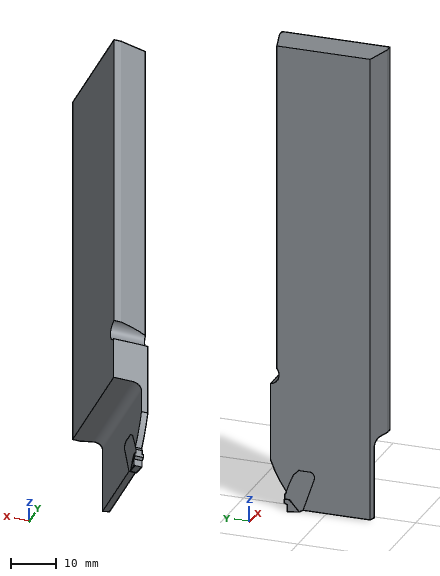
import cadquery as cq
import math

length = 110.0
holder_thickness = 8.0
holder_width = 25.1
rim = 1.7
bevel_angle = 15.0
bevel_depth = holder_thickness - rim
bevel_inset = bevel_depth * math.tan(math.radians(bevel_angle))
half_width = holder_width / 2
half_face = half_width - bevel_inset

blade_thickness = 1.5
blade_bottom = 0.85
blade_edge = 12.35
step_height = 19.35
step_radius = 2.0
nose_top = 11.8
nose_end = (8.65, 4.7)
nose_middle = (10.75, 8.15)

notch_radius = 2.4
notch_y = 12.75
notch_z = 32.1

insert_heel = (4.75, blade_bottom)
insert_flank = (5.6, 0.3)
insert_tip = (8.35, 0.0)
rake_top = (8.35, 1.7)
lip_bottom = (9.05, 2.1)
lip_top = (9.05, 3.9)
insert_side_bend = (7.9, 6.8)
insert_shoulder = (7.0, 8.9)
insert_top = 10.15
insert_top_y = (5.75, 3.05)
insert_corner_middle = (2.3, 9.65)
insert_corner_end = (2.15, 8.5)

head_width = 2.0
head_overhang = (head_width - blade_thickness) / 2
head_corner_radius = 0.3
head_shoulder_y = 7.9
head_shoulder_z = 2.95


def make_insert():
    """Shank as thick as the blade, plus the wider tapered head."""
    shank = (
        cq.Workplane("YZ")
        .moveTo(*insert_heel)
        .lineTo(*insert_flank)
        .lineTo(*insert_tip)
        .lineTo(*rake_top)
        .lineTo(*lip_bottom)
        .lineTo(*lip_top)
        .lineTo(*nose_end)
        .lineTo(*insert_side_bend)
        .lineTo(*insert_shoulder)
        .lineTo(insert_top_y[0], insert_top)
        .lineTo(insert_top_y[1], insert_top)
        .threePointArc(insert_corner_middle, insert_corner_end)
        .close()
        .extrude(blade_thickness)
    )
    head = (
        cq.Workplane("YZ")
        .workplane(offset=-head_overhang)
        .polyline([
            insert_flank,
            insert_tip,
            rake_top,
            lip_bottom,
            (lip_bottom[0], head_shoulder_z),
            (head_shoulder_y, head_shoulder_z),
        ])
        .close()
        .extrude(head_width)
        .faces("<Z")
        .edges("not |X")
        .fillet(head_corner_radius)
    )
    taper = (
        cq.Workplane("XY")
        .polyline([
            (0, insert_flank[0]),
            (blade_thickness, insert_flank[0]),
            (blade_thickness + head_overhang, lip_bottom[0]),
            (-head_overhang, lip_bottom[0]),
        ])
        .close()
        .extrude(length)
    )
    return shank.union(head.intersect(taper))


def make_holder(insert):
    """Bevelled bar thinned to a blade, with nose, notch and insert pocket."""
    bar = (
        cq.Workplane("XY")
        .workplane(offset=blade_bottom)
        .polyline([
            (0, -half_face),
            (bevel_depth, -half_width),
            (holder_thickness, -half_width),
            (holder_thickness, half_width),
            (bevel_depth, half_width),
            (0, half_face),
        ])
        .close()
        .extrude(length - blade_bottom)
    )

    flat_height = notch_z - blade_bottom
    rim_trim = (
        cq.Workplane("XY")
        .box(holder_thickness, holder_width, flat_height, centered=False)
        .translate((0, blade_edge, blade_bottom))
    )
    edge_fill = (
        cq.Workplane("XY")
        .box(holder_thickness, blade_edge, flat_height, centered=False)
        .translate((0, 0, blade_bottom))
    )
    holder = bar.cut(rim_trim).union(edge_fill)

    notch = (
        cq.Workplane("YZ")
        .center(notch_y, notch_z)
        .circle(notch_radius)
        .extrude(holder_thickness)
    )
    holder = holder.cut(notch)

    thinning = (
        cq.Workplane("XY")
        .box(holder_thickness, 2 * holder_width, step_height, centered=(False, True, False))
        .edges("<X and >Z")
        .fillet(step_radius)
        .translate((blade_thickness, 0, 0))
    )
    holder = holder.cut(thinning)

    nose_clearance = (
        cq.Workplane("YZ")
        .moveTo(blade_edge, nose_top)
        .threePointArc(nose_middle, nose_end)
        .lineTo(*lip_top)
        .lineTo(*insert_heel)
        .lineTo(insert_heel[0], 0)
        .lineTo(holder_width, 0)
        .lineTo(holder_width, nose_top)
        .close()
        .extrude(blade_thickness)
    )
    return holder.cut(nose_clearance).cut(insert)


insert = make_insert()
holder = make_holder(insert)
result = cq.Compound.makeCompound([holder.val(), insert.val()])